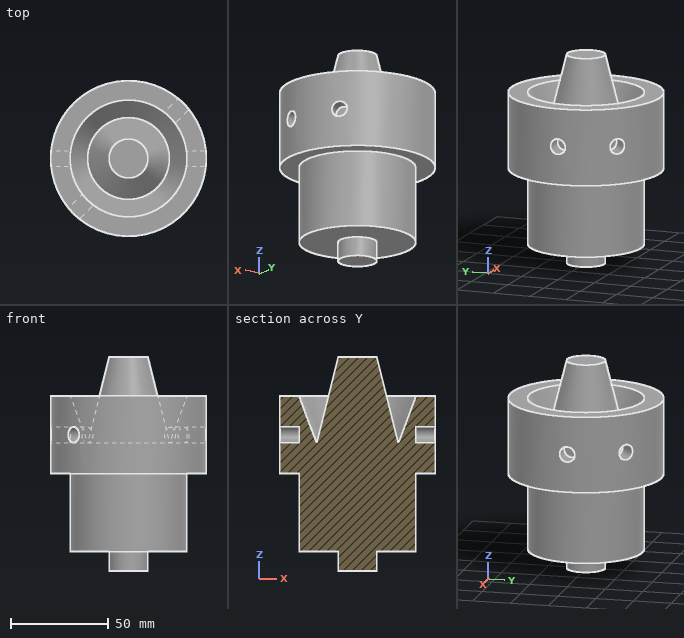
import cadquery as cq
import math

total_height = 110.0
unit = total_height / 11

pin_radius = unit
pin_height = unit
shank_radius = 3 * unit
shank_height = 4 * unit
head_radius = 4 * unit
head_height = 4 * unit
head_bottom = pin_height + shank_height
head_top = head_bottom + head_height

bowl_rim_radius = 3 * unit
bowl_cone_bottom_radius = 1.5 * unit
post_top_radius = unit
post_rim_radius = 1.5 * unit
post_taper = (post_rim_radius - post_top_radius) / (total_height - head_top)

hole_radius = 0.4 * unit
hole_depth = unit
hole_height = head_bottom + head_height / 2
hole_angles = (0, 45, 180, 225)


def make_body():
    """Pin, shank and head stacked on the Z axis."""
    pin = cq.Workplane("XY").circle(pin_radius).extrude(pin_height)
    shank = cq.Workplane("XY", origin=(0, 0, pin_height)).circle(shank_radius).extrude(shank_height)
    head = cq.Workplane("XY", origin=(0, 0, head_bottom)).circle(head_radius).extrude(head_height)
    return pin.union(shank).union(head)


def make_frustum(bottom_radius, top_radius, bottom, top):
    """Cone frustum on the Z axis between two heights."""
    profile = [
        (0, bottom),
        (bottom_radius, bottom),
        (top_radius, top),
        (0, top),
    ]
    return cq.Workplane("XZ").polyline(profile).close().revolve(360, (0, 0), (0, 1))


def make_bowl():
    """Cutter narrowing from the rim; the post fills its lower part."""
    return make_frustum(bowl_cone_bottom_radius, bowl_rim_radius, head_bottom, head_top)


def make_post():
    """Tapered post, widening downwards until it meets the bowl wall in a V groove."""
    bottom_radius = post_top_radius + post_taper * (total_height - head_bottom)
    return make_frustum(bottom_radius, post_top_radius, head_bottom, total_height)


def make_radial_hole(angle):
    """Flat-bottomed hole cutter entering the head from outside at the given angle."""
    outward = cq.Vector(math.cos(math.radians(angle)), math.sin(math.radians(angle)), 0)
    floor = outward * (head_radius - hole_depth) + cq.Vector(0, 0, hole_height)
    cutter_length = 2 * hole_depth
    return cq.Workplane(cq.Solid.makeCylinder(hole_radius, cutter_length, floor, outward))


result = make_body().cut(make_bowl()).union(make_post())
for hole_angle in hole_angles:
    result = result.cut(make_radial_hole(hole_angle))